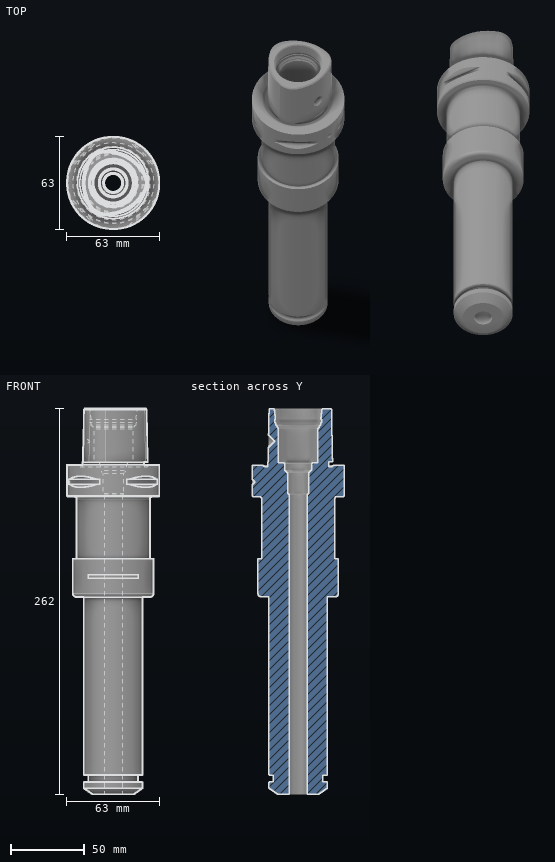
import cadquery as cq
import math

total_length = 262.0
tip_chamfer_top = 4.2
groove_bottom = 8.6
groove_top = 12.8
collar_bottom = 134.0
collar_top = 160.0
flange_bottom = 202.0
flange_top = 223.7
polygon_bottom = 225.5

tip_diameter = 28.0
shank_diameter = 40.0
groove_diameter = 34.0
collar_diameter = 55.0
neck_diameter = 50.0
flange_diameter = 63.0
undercut_diameter = 42.0
recess_diameter = 48.5

groove_edge_chamfer = 0.5
collar_edge_radius = 2.5
neck_fillet = 1.3
flange_edge_chamfer = 0.65
recess_depth = 1.3
recess_chamfer = 1.5

lobe_reach = 23.5
flank_reach = 20.7
lobe_spacing = 120
taper_slope = 0.02
polygon_edge_chamfer = 0.8

mouth_diameter = 33.0
socket_top_diameter = 32.0
socket_diameter = 30.5
ring_groove_diameter = 31.7
ledge_diameter = 28.0
throat_diameter = 26.5
seat_diameter = 20.0
pilot_diameter = 17.8
thread_diameter = 14.0
through_diameter = 12.0

mouth_depth = 0.8
ring_groove_top_depth = 7.3
ring_groove_bottom_depth = 9.5
socket_depth = 11.0
ledge_depth = 12.8
throat_depth = 36.7
pilot_depth = 42.0
thread_depth = 57.6

notch_height = 212.2
notch_floor_distance = 27.8
notch_width = 3.7
notch_mouth_width = 7.5
notch_chamfer_depth = 2.5
notch_angles = (45, 135, 225, 315)

polygon_dimple_diameter = 8.6
polygon_dimple_height = 239.7
flange_dimple_diameter = 4.0
dimple_angle = 90.0
dimple_overshoot = 0.8

band_bottom = 146.7
band_top = 149.0
band_length = 34.0
band_depth = 0.3


def turned_body():
    """Revolve the round body below the coupling, with its recess for the coupling root."""
    tip, shank, groove = tip_diameter / 2, shank_diameter / 2, groove_diameter / 2
    collar, neck, flange = collar_diameter / 2, neck_diameter / 2, flange_diameter / 2
    undercut, recess = undercut_diameter / 2, recess_diameter / 2
    edge = groove_edge_chamfer
    arc_offset = 1 - math.sqrt(0.5)
    collar_arc_mid = (
        collar - collar_edge_radius * arc_offset,
        collar_bottom + collar_edge_radius * arc_offset,
    )
    neck_arc_mid = (
        neck + neck_fillet * arc_offset,
        flange_bottom - neck_fillet * arc_offset,
    )
    profile = (
        cq.Workplane("XZ")
        .moveTo(0, 0)
        .lineTo(tip, 0)
        .lineTo(shank, tip_chamfer_top)
        .lineTo(shank, groove_bottom - edge)
        .lineTo(shank - edge, groove_bottom)
        .lineTo(groove, groove_bottom)
        .lineTo(groove, groove_top)
        .lineTo(shank - edge, groove_top)
        .lineTo(shank, groove_top + edge)
        .lineTo(shank, collar_bottom)
        .lineTo(collar - collar_edge_radius, collar_bottom)
        .threePointArc(collar_arc_mid, (collar, collar_bottom + collar_edge_radius))
        .lineTo(collar, collar_top)
        .lineTo(neck, collar_top)
        .lineTo(neck, flange_bottom - neck_fillet)
        .threePointArc(neck_arc_mid, (neck + neck_fillet, flange_bottom))
        .lineTo(flange - flange_edge_chamfer, flange_bottom)
        .lineTo(flange, flange_bottom + flange_edge_chamfer)
        .lineTo(flange, flange_top)
        .lineTo(recess, flange_top)
        .lineTo(recess - recess_chamfer, flange_top - recess_depth)
        .lineTo(undercut, flange_top - recess_depth)
        .lineTo(undercut, polygon_bottom)
        .lineTo(0, polygon_bottom)
        .close()
    )
    return profile.revolve(360, (0, 0, 0), (0, 1, 0))


def polar(radius, angle):
    """Point at a radius and an angle in degrees."""
    return (radius * math.cos(math.radians(angle)), radius * math.sin(math.radians(angle)))


def lobed_outline(height, inset):
    """Constant-width outline of six tangent arcs, moved inward by `inset`, with one lobe toward +X."""
    lobe_centre = (lobe_reach - flank_reach) / (2 - math.sqrt(3))
    lobe_radius = lobe_reach - lobe_centre - inset
    lobe_end_x, lobe_end_y = polar(lobe_radius, lobe_spacing / 4)
    joint_x, joint_y = lobe_centre + lobe_end_x, lobe_end_y
    joint_radius = math.hypot(joint_x, joint_y)
    joint_angle = math.degrees(math.atan2(joint_y, joint_x))
    outline = cq.Workplane("XY", origin=(0, 0, height)).moveTo(*polar(joint_radius, -joint_angle))
    for lobe_angle in (0, lobe_spacing, 2 * lobe_spacing):
        outline = outline.threePointArc(
            polar(lobe_reach - inset, lobe_angle),
            polar(joint_radius, lobe_angle + joint_angle),
        ).threePointArc(
            polar(flank_reach - inset, lobe_angle + lobe_spacing / 2),
            polar(joint_radius, lobe_angle + lobe_spacing - joint_angle),
        )
    return outline.close().val()


def coupling():
    """Three-lobed taper with a chamfered top edge."""
    shoulder = total_length - polygon_edge_chamfer
    shoulder_inset = taper_slope * (shoulder - polygon_bottom)
    root_outline = lobed_outline(polygon_bottom, 0)
    shoulder_outline = lobed_outline(shoulder, shoulder_inset)
    top_outline = lobed_outline(total_length, shoulder_inset + polygon_edge_chamfer)
    taper = cq.Solid.makeLoft([root_outline, shoulder_outline], True)
    edge = cq.Solid.makeLoft([shoulder_outline, top_outline], True)
    return cq.Workplane(taper).union(cq.Workplane(edge))


def cone_end(start_depth, upper_diameter, lower_diameter):
    """Depth at which a 45 degree cone reaches its lower diameter."""
    return start_depth + (upper_diameter - lower_diameter) / 2


def bore():
    """Revolved cutter for the stepped through bore, its inner cones at 45 degrees."""
    steps = (
        (mouth_diameter, 0),
        (socket_top_diameter, mouth_depth),
        (socket_diameter, ring_groove_top_depth),
        (ring_groove_diameter, ring_groove_top_depth),
        (ring_groove_diameter, ring_groove_bottom_depth),
        (socket_diameter, ring_groove_bottom_depth),
        (socket_diameter, socket_depth),
        (ledge_diameter, cone_end(socket_depth, socket_diameter, ledge_diameter)),
        (ledge_diameter, ledge_depth),
        (throat_diameter, cone_end(ledge_depth, ledge_diameter, throat_diameter)),
        (throat_diameter, throat_depth),
        (seat_diameter, throat_depth),
        (pilot_diameter, cone_end(throat_depth, seat_diameter, pilot_diameter)),
        (pilot_diameter, pilot_depth),
        (thread_diameter, cone_end(pilot_depth, pilot_diameter, thread_diameter)),
        (thread_diameter, thread_depth),
        (through_diameter, cone_end(thread_depth, thread_diameter, through_diameter)),
        (through_diameter, total_length),
    )
    profile = cq.Workplane("XZ").moveTo(0, total_length)
    for diameter, depth in steps:
        profile = profile.lineTo(diameter / 2, total_length - depth)
    return profile.lineTo(0, 0).close().revolve(360, (0, 0, 0), (0, 1, 0))


def gripper_notch(angle):
    """Straight flat-bottomed notch across the flange rim, with both mouth edges chamfered."""
    rim = flange_diameter / 2
    half_width, half_mouth = notch_width / 2, notch_mouth_width / 2
    chamfer_start = rim - notch_chamfer_depth
    profile = (
        cq.Workplane("XZ")
        .moveTo(notch_floor_distance, notch_height - half_width)
        .lineTo(chamfer_start, notch_height - half_width)
        .lineTo(rim, notch_height - half_mouth)
        .lineTo(rim, notch_height + half_mouth)
        .lineTo(chamfer_start, notch_height + half_width)
        .lineTo(notch_floor_distance, notch_height + half_width)
        .close()
    )
    return profile.extrude(rim, both=True).rotate((0, 0, 0), (0, 0, 1), angle)


def dimple(diameter, surface_distance, height):
    """Conical dimple entering from the -X side, with `diameter` at the surface."""
    slope = math.tan(math.radians(dimple_angle / 2))
    outer_radius = diameter / 2 + dimple_overshoot * slope
    start = cq.Vector(-surface_distance - dimple_overshoot, 0, height)
    cone = cq.Solid.makeCone(outer_radius, 0, outer_radius / slope, start, cq.Vector(1, 0, 0))
    return cq.Workplane(cone)


def marking_band():
    """Shallow curved band on the collar."""
    height = band_top - band_bottom
    ring = (
        cq.Workplane("XY", origin=(0, 0, band_bottom))
        .circle(collar_diameter / 2)
        .circle(collar_diameter / 2 - band_depth)
        .extrude(height)
    )
    window = cq.Workplane("XY", origin=(0, -collar_diameter / 2, band_bottom)).box(
        band_length, collar_diameter, height, centered=(True, True, False)
    )
    return ring.intersect(window)


result = turned_body().union(coupling()).cut(bore())
for notch_angle in notch_angles:
    result = result.cut(gripper_notch(notch_angle))
flank_distance = flank_reach - taper_slope * (polygon_dimple_height - polygon_bottom)
result = result.cut(dimple(polygon_dimple_diameter, flank_distance, polygon_dimple_height))
result = result.cut(dimple(flange_dimple_diameter, flange_diameter / 2, notch_height))
result = result.cut(marking_band())